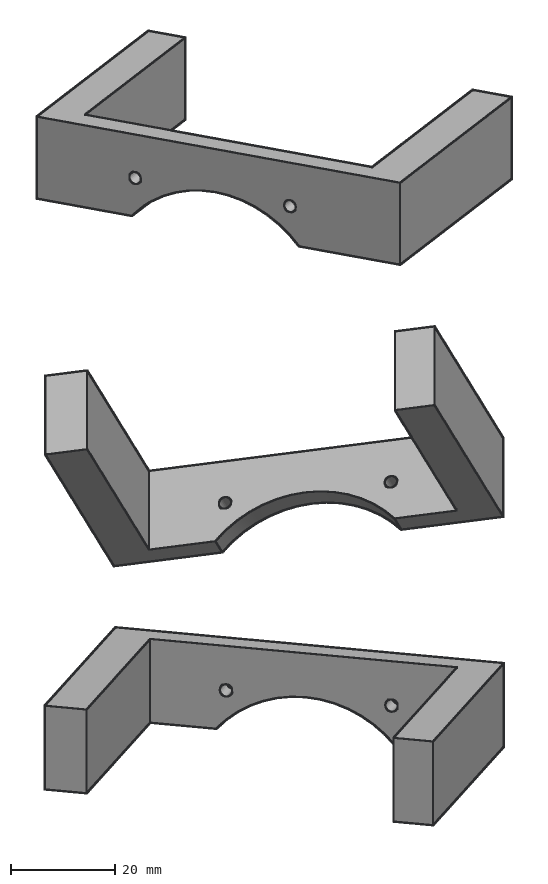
import cadquery as cq

width = 77.5
depth = 49.0
height = 17.0

left_leg_thickness = 7.9
right_leg_thickness = 8.4
wall_thickness = 4.95

arch_radius = 23.7
arch_center_x = 38.1
arch_rise = 8.05

hole_diameter = 2.5
hole_sides = 24
hole_spacing = 33.0
hole_pair_center_x = 37.5
hole_height = 8.0


def make_frame():
    """U-shaped frame, open toward +Y, with its front left bottom corner at the origin."""
    block = cq.Workplane("XY").box(width, depth, height, centered=False)
    opening_width = width - left_leg_thickness - right_leg_thickness
    opening_depth = depth - wall_thickness
    opening = (
        cq.Workplane("XY")
        .box(opening_width, opening_depth, height, centered=False)
        .translate((left_leg_thickness, wall_thickness, 0))
    )
    return block.cut(opening)


def make_arch():
    """Cylinder along Y, centered below the wall, that carves the arched relief."""
    arch_center_z = arch_rise - arch_radius
    profile = cq.Workplane("XZ").center(arch_center_x, arch_center_z).circle(arch_radius)
    return profile.extrude(-wall_thickness)


def make_hole(x):
    """Many-sided prism along Y that pierces the front wall at the given X."""
    profile = cq.Workplane("XZ").center(x, hole_height).polygon(hole_sides, hole_diameter)
    return profile.extrude(-wall_thickness)


result = make_frame().cut(make_arch())
for side in (-1, 1):
    result = result.cut(make_hole(hole_pair_center_x + side * hole_spacing / 2))